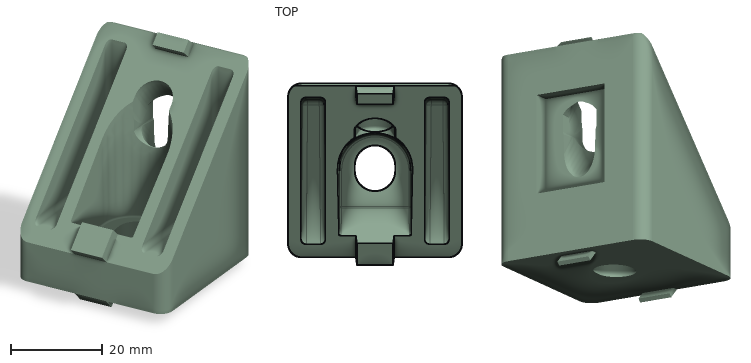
import cadquery as cq
import math


ROOT2 = math.sqrt(2)

width = 38.1
depth = 38.1
total_height = 51.0
corner_radius = 3.05
back_height = 47.0
slope_sum = 47.6

tab_height = 2.4
tab_base_width = 8.35
tab_top_width = 7.85
tab_embed = 0.5
upper_tab_start = 0.65
upper_tab_end = 2.85
lower_tab_start = 33.3

prong_drop = total_height - (slope_sum - upper_tab_start + tab_height / ROOT2)
prong_width = 7.95
prong_thickness = 1.0
prong_embed = 0.5
prong_pitch = 33.95

pocket_width = 5.35
pocket_offset = 13.5
pocket_back = 3.1
pocket_front = 35.2
pocket_draft = 0.8
pocket_lean = 0.55
pocket_radius = 1.1

arch_radius = 7.75
arch_center = 19.0
arch_floor = 8.05
arch_draft = 1.3
arch_floor_front = 27.1
arch_floor_fillet = 0.4

base_hole_width = 8.75
base_hole_back = 13.6
base_hole_front = 23.55

slant_hole_width = 9.2
slant_hole_length = 12.15
slant_hole_depth = 12.0
slant_hole_angle = 50.0
slant_hole_draft = 2.5

level_slot_width = 8.55
level_slot_top = 34.65
level_slot_bottom = 25.15
level_slot_top_rise = 2.15
level_slot_bottom_rise = 3.4

recess_depth = 3.75
recess_width = 17.35
recess_bottom = 14.3
recess_top = 36.7

reach = 2 * depth


def side_prism(points, prism_width):
    """Prism along X, centred on X = 0, from (depth, height) points."""
    outline = [(-d, z) for d, z in points]
    return cq.Workplane("YZ").polyline(outline).close().extrude(prism_width / 2, both=True)


def slope_plane(at_depth, lift=0):
    """Plane on the sloping face, local y running up the slope, local z outwards."""
    shift = lift / ROOT2
    origin = (0, -at_depth - shift, slope_sum - at_depth + shift)
    return cq.Workplane(cq.Plane(origin=origin, xDir=(1, 0, 0), normal=(0, -1, 1)))


def make_block():
    block = (
        cq.Workplane("XY").center(0, -depth / 2).rect(width, depth).extrude(back_height)
        .edges("|Z").fillet(corner_radius)
    )
    above_slope = [(0, slope_sum), (reach, slope_sum - reach), (reach, slope_sum)]
    return block.cut(side_prism(above_slope, 2 * width))


def make_tab(start, end):
    length = (end - start) * ROOT2
    middle = (start + end) / 2
    root = slope_plane(middle, -tab_embed).rect(tab_base_width, length).extrude(tab_embed)
    tab = (
        slope_plane(middle).rect(tab_base_width, length)
        .workplane(offset=tab_height).rect(tab_top_width, length).loft()
    )
    return root.union(tab)


def make_prong(front):
    """Prong whose forward face meets the base at the given depth."""
    run = prong_thickness * ROOT2
    half_run = run / 2
    points = [
        (front, 0),
        (front, prong_embed),
        (front - run, prong_embed),
        (front - run, 0),
        (front - half_run - prong_drop, half_run - prong_drop),
        (front - prong_drop, -prong_drop),
    ]
    return side_prism(points, prong_width)


def make_side_pocket(x):
    opening_run = pocket_front - pocket_back
    deep = pocket_back + pocket_lean
    floor = slope_sum - pocket_front
    wedge = side_prism(
        [
            (pocket_back, floor + opening_run),
            (deep, floor + pocket_lean),
            (pocket_front, floor),
        ],
        2 * pocket_width,
    )
    drafted = (
        slope_plane((pocket_back + pocket_front) / 2).rect(pocket_width, reach)
        .extrude(-depth, taper=pocket_draft)
    )
    pocket = wedge.intersect(drafted)
    opening = pocket.faces(cq.selectors.DirectionMinMaxSelector(cq.Vector(0, -1, 1))).edges().vals()
    inner = [edge for edge in pocket.edges().vals() if not any(edge.isSame(rim) for rim in opening)]
    return pocket.newObject(inner).fillet(pocket_radius).translate((x, 0, 0))


def make_arch_pocket():
    drafted = (
        cq.Workplane("XY", origin=(0, -arch_center, arch_floor))
        .moveTo(-arch_radius, -depth).lineTo(-arch_radius, 0)
        .threePointArc((0, arch_radius), (arch_radius, 0))
        .lineTo(arch_radius, -depth).close()
        .extrude(depth, taper=-arch_draft)
    )
    behind_front_wall = side_prism(
        [
            (0, arch_floor),
            (arch_floor_front, arch_floor),
            (arch_floor_front + depth, arch_floor + depth),
            (0, arch_floor + depth),
        ],
        width,
    )
    pocket = drafted.intersect(behind_front_wall)
    front_wall = cq.selectors.DirectionMinMaxSelector(cq.Vector(0, -1, -1))
    return pocket.faces(cq.StringSyntaxSelector("<Z") + front_wall).edges().fillet(arch_floor_fillet)


def make_base_hole():
    length = base_hole_front - base_hole_back
    middle = (base_hole_front + base_hole_back) / 2
    return (
        cq.Workplane("XY").center(0, -middle)
        .slot2D(length, base_hole_width, 90).extrude(2 * arch_floor)
    )


def make_slant_hole():
    angle = math.radians(slant_hole_angle)
    mouth = cq.Plane(
        origin=(0, -slant_hole_depth, slope_sum - slant_hole_depth),
        xDir=(1, 0, 0),
        normal=(0, -math.cos(angle), math.sin(angle)),
    )
    profile = cq.Sketch().slot(slant_hole_length - slant_hole_width, slant_hole_width, angle=90)
    inner = cq.Workplane(mouth).placeSketch(profile).extrude(-depth, taper=slant_hole_draft)
    outer = cq.Workplane(mouth).placeSketch(profile).extrude(slant_hole_width)
    in_front_of_recess = [
        (recess_depth, 0),
        (recess_depth, reach),
        (reach, reach),
        (reach, 0),
    ]
    return inner.union(outer).intersect(side_prism(in_front_of_recess, width))


def make_level_slot():
    half_width = level_slot_width / 2
    upper = level_slot_top - level_slot_top_rise
    lower = level_slot_bottom + level_slot_bottom_rise
    return (
        cq.Workplane("XZ")
        .moveTo(-half_width, lower).lineTo(-half_width, upper)
        .threePointArc((0, level_slot_top), (half_width, upper))
        .lineTo(half_width, lower)
        .threePointArc((0, level_slot_bottom), (-half_width, lower))
        .close().extrude(arch_center)
    )


def make_recess():
    outline = [
        (0, recess_bottom),
        (0, recess_top),
        (recess_depth, recess_top),
        (recess_depth, recess_bottom),
    ]
    return side_prism(outline, recess_width)


result = make_block()
for start, end in [(upper_tab_start, upper_tab_end), (lower_tab_start, depth)]:
    result = result.union(make_tab(start, end))
for front in [depth, depth - prong_pitch]:
    result = result.union(make_prong(front))
for side in [-1, 1]:
    result = result.cut(make_side_pocket(side * pocket_offset))
for cavity in [make_arch_pocket(), make_base_hole(), make_slant_hole(), make_level_slot(), make_recess()]:
    result = result.cut(cavity)